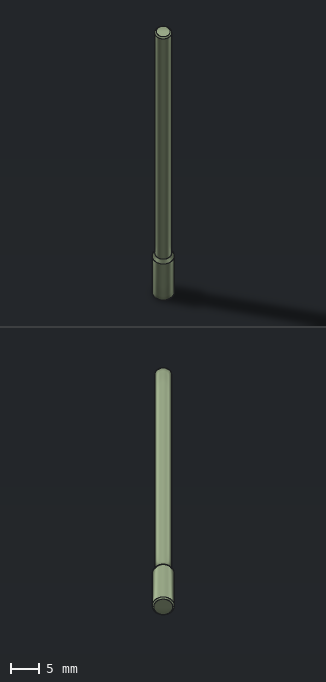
import cadquery as cq
import math

total_length = 70.0
rod_diameter = 3.0
rod_chamfer = 0.3
head_diameter = 3.9
head_length = 10.8
head_chamfer = 0.3
cone_half_angle = math.radians(30.0)

cone_height = (head_diameter - rod_diameter) / 2 / math.tan(cone_half_angle)
rod_length = total_length - head_length


def make_head():
    """Cylindrical head with a bottom chamfer and a conical shoulder on top."""
    body_height = head_length - cone_height
    return (
        cq.Workplane("XZ")
        .moveTo(0, 0)
        .lineTo(head_diameter / 2 - head_chamfer, 0)
        .lineTo(head_diameter / 2, head_chamfer)
        .lineTo(head_diameter / 2, body_height)
        .lineTo(rod_diameter / 2, head_length)
        .lineTo(0, head_length)
        .close()
        .revolve(360, (0, 0), (0, 1))
    )


def make_rod():
    """Long rod standing on the flat end of the head, chamfered at its tip."""
    return (
        cq.Workplane("XY")
        .workplane(offset=head_length)
        .circle(rod_diameter / 2)
        .extrude(rod_length)
        .faces(">Z")
        .chamfer(rod_chamfer)
    )


head = make_head()
rod = make_rod()

result = cq.Compound.makeCompound([head.val(), rod.val()])